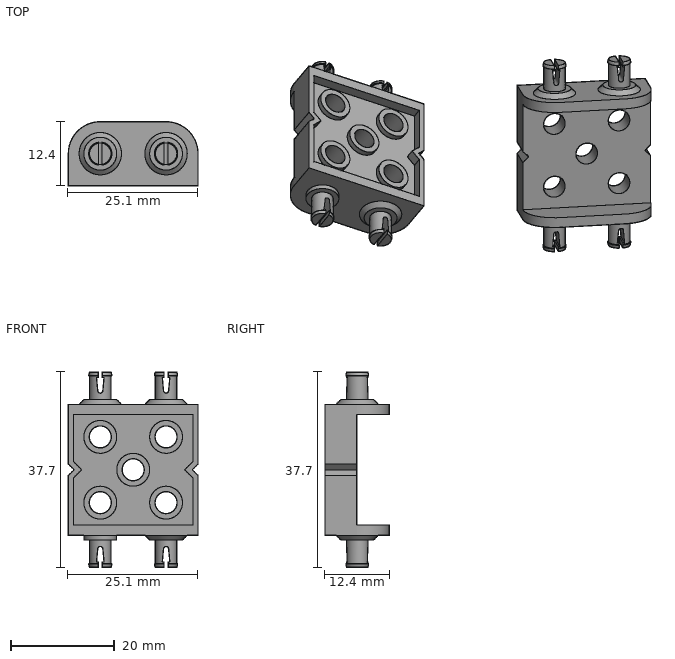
import cadquery as cq
import math

width = 25.1
height = 25.3
overall_depth = 12.43
block_depth = 6.15
flange_thickness = 2.0

pitch = 12.7
bore_diameter = 4.2
post_diameter = 4.2
collar_diameter = 6.35
bore_collar_height = 1.1
corner_radius = (width - pitch) / 2
peg_y = overall_depth - corner_radius

side_wall = 1.04
end_wall = 2.0
pocket_depth = 2.0
notch_depth = 1.13
notch_wall = 1.04

peg_height = 6.19
peg_collar_height = 0.92
flare_diameter = collar_diameter + 2 * peg_collar_height
lip_diameter = 4.5
lip_underside = 5.44
lip_edge = 5.54
tip_diameter = 4.14
slot_bottom = 2.17
slot_shoulder = 5.15
slot_bottom_width = 0.95
slot_shoulder_width = 1.4
slot_mouth_width = 0.75


def notched_outline(half_width, half_height, notch):
    """Rectangle in XZ with a 90 degree V notch in the middle of each side."""
    tip = half_width - notch
    return cq.Workplane("XZ").polyline([
        (-half_width, -half_height),
        (half_width, -half_height),
        (half_width, -notch),
        (tip, 0),
        (half_width, notch),
        (half_width, half_height),
        (-half_width, half_height),
        (-half_width, notch),
        (-tip, 0),
        (-half_width, -notch),
    ]).close()


def make_block():
    """Notched block with a shallow front pocket that follows the outline."""
    half_width = width / 2
    half_height = height / 2
    pocket_half_width = half_width - side_wall
    pocket_notch = notch_depth + notch_wall * math.sqrt(2) - side_wall
    block = notched_outline(half_width, half_height, notch_depth).extrude(-block_depth)
    pocket = notched_outline(pocket_half_width, half_height - end_wall, pocket_notch)
    return block.cut(pocket.extrude(-pocket_depth))


def make_flange(z_bottom):
    """End plate whose two rear corners are rounded about the peg axes."""
    return (
        cq.Workplane("XY", origin=(0, 0, z_bottom))
        .rect(width, overall_depth)
        .extrude(flange_thickness)
        .translate((0, overall_depth / 2, 0))
        .edges("|Z and >Y")
        .fillet(corner_radius)
    )


def make_slot():
    """Slot along Y: narrow mouth, then a taper down to a round bottom."""
    round_radius = slot_bottom_width / 2
    round_center = slot_bottom + round_radius
    shoulder = slot_shoulder_width / 2
    mouth = slot_mouth_width / 2
    return (
        cq.Workplane("XZ")
        .moveTo(-round_radius, round_center)
        .threePointArc((0, slot_bottom), (round_radius, round_center))
        .lineTo(shoulder, slot_shoulder)
        .lineTo(mouth, slot_shoulder)
        .lineTo(mouth, peg_height)
        .lineTo(-mouth, peg_height)
        .lineTo(-mouth, slot_shoulder)
        .lineTo(-shoulder, slot_shoulder)
        .close()
        .extrude(lip_diameter, both=True)
    )


def make_peg(base_diameter):
    """Split snap peg standing on z = 0, with a collar of the given base diameter."""
    post_radius = post_diameter / 2
    lip_radius = lip_diameter / 2
    tip_radius = tip_diameter / 2
    crown_middle = (
        lip_radius - (lip_radius - tip_radius) / 4,
        (lip_edge + peg_height) / 2,
    )
    peg = (
        cq.Workplane("XZ")
        .moveTo(0, 0)
        .lineTo(base_diameter / 2, 0)
        .lineTo(collar_diameter / 2, peg_collar_height)
        .lineTo(post_radius, peg_collar_height)
        .lineTo(post_radius, lip_underside)
        .lineTo(lip_radius, lip_edge)
        .threePointArc(crown_middle, (tip_radius, peg_height))
        .lineTo(0, peg_height)
        .close()
        .revolve(360, (0, 0, 0), (0, 1, 0))
    )
    return peg.cut(make_slot())


def add_pegs(body):
    """Two pegs on each end; the lower left one has a straight collar."""
    flared_peg = make_peg(flare_diameter)
    straight_peg = make_peg(collar_diameter)
    for x in (-pitch / 2, pitch / 2):
        lower_peg = straight_peg if x < 0 else flared_peg
        lower_peg = lower_peg.mirror("XY")
        body = body.union(flared_peg.translate((x, peg_y, height / 2)))
        body = body.union(lower_peg.translate((x, peg_y, -height / 2)))
    return body


def add_bores(body):
    """Five through bores, each with a collar rising from the pocket floor."""
    half_pitch = pitch / 2
    centers = [(x, z) for x in (-half_pitch, half_pitch) for z in (-half_pitch, half_pitch)]
    centers.append((0, 0))
    pocket_floor = cq.Workplane("XZ", origin=(0, pocket_depth, 0)).pushPoints(centers)
    collars = pocket_floor.circle(collar_diameter / 2).extrude(bore_collar_height)
    bores = pocket_floor.circle(bore_diameter / 2).extrude(block_depth, both=True)
    return body.union(collars).cut(bores)


body = make_block()
for flange_bottom in (-height / 2, height / 2 - flange_thickness):
    body = body.union(make_flange(flange_bottom))
body = add_bores(body)
result = add_pegs(body)